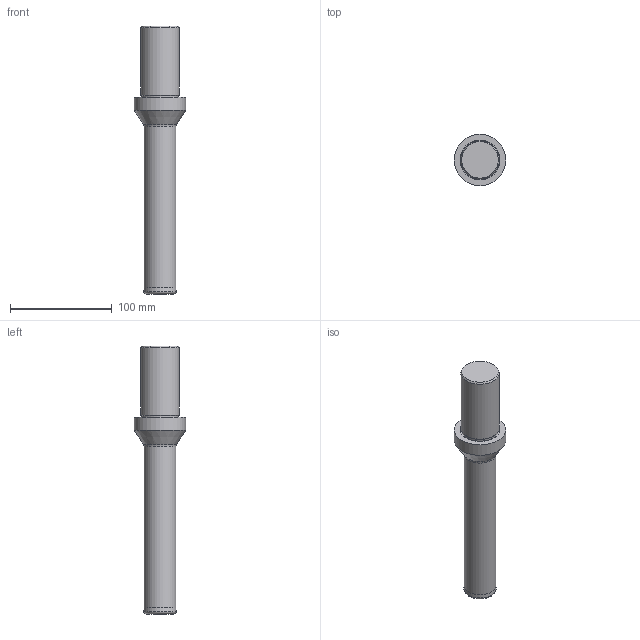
import cadquery as cq
import math

total_height = 263.4
pin_length = 70.0
collar_height = 12.7
collar_top = total_height - pin_length
collar_bottom = collar_top - collar_height

pin_radius = 38.1 / 2
pin_top_chamfer_height = 1.7
pin_top_chamfer_width = 1.1
neck_radius = 18.2
neck_gap = 1.3
pin_bottom_chamfer = pin_radius - neck_radius

recess_radius = 19.6
recess_depth = 0.8
recess_floor = collar_top - recess_depth

collar_radius = 50.8 / 2
shank_radius = 15.6
cone_angle = math.radians(33.3)
cone_fillet = 4.5

tip_radius = 31.75 / 2
tip_height = 6.0
tip_rounding = 2.3


def turn(outline):
    """Revolve a closed half section about the Z axis."""
    return outline.close().revolve(360, (0, 0, 0), (0, 1, 0))


def make_pin():
    shoulder = collar_top + neck_gap
    return turn(
        cq.Workplane("XZ")
        .moveTo(0, recess_floor)
        .lineTo(neck_radius, recess_floor)
        .lineTo(neck_radius, shoulder)
        .lineTo(pin_radius, shoulder + pin_bottom_chamfer)
        .lineTo(pin_radius, total_height - pin_top_chamfer_height)
        .lineTo(pin_radius - pin_top_chamfer_width, total_height)
        .lineTo(0, total_height)
    )


def make_punch():
    cone_height = (collar_radius - shank_radius) / math.tan(cone_angle)
    cone_bottom = collar_bottom - cone_height
    fillet_x = shank_radius + cone_fillet
    fillet_z = cone_bottom - cone_fillet * math.tan(cone_angle / 2)

    def fillet_point(angle):
        return (fillet_x - cone_fillet * math.cos(angle), fillet_z + cone_fillet * math.sin(angle))

    tip_centre_x = tip_radius - tip_rounding
    eighth_turn = math.radians(45)
    tip_middle = (
        tip_centre_x + tip_rounding * math.sin(eighth_turn),
        tip_rounding - tip_rounding * math.cos(eighth_turn),
    )
    return turn(
        cq.Workplane("XZ")
        .moveTo(0, 0)
        .lineTo(tip_centre_x, 0)
        .threePointArc(tip_middle, (tip_radius, tip_rounding))
        .lineTo(shank_radius, tip_height)
        .lineTo(*fillet_point(0))
        .threePointArc(fillet_point(cone_angle / 2), fillet_point(cone_angle))
        .lineTo(collar_radius, collar_bottom)
        .lineTo(collar_radius, collar_top)
        .lineTo(recess_radius, collar_top)
        .lineTo(recess_radius, recess_floor)
        .lineTo(0, recess_floor)
    )


pin = make_pin()
punch = make_punch()
result = cq.Compound.makeCompound([pin.val(), punch.val()])